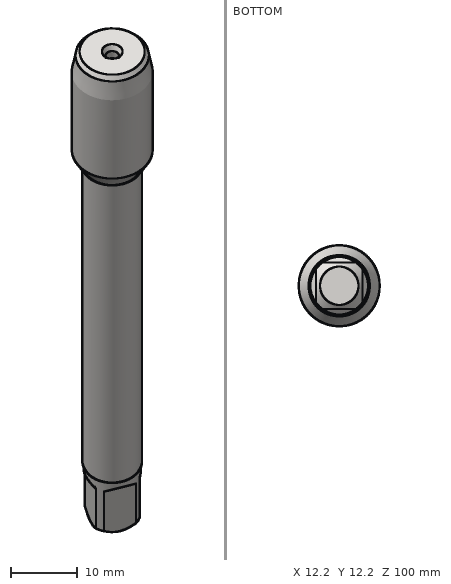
import cadquery as cq
import math

length = 100.0

head_diameter = 12.18
head_length = 21.0
lead_length = 4.3
lead_diameter = 11.0
tip_chamfer_height = 0.8
tip_diameter = 9.75

shank_diameter = 9.0
neck_cone_length = 3.0
neck_cone_end_diameter = 9.2

drive_diameter = 8.64
drive_length = 12.3
drive_step_height = 0.3
square_width = 7.0
square_length = 10.0
runout_angle = 45.0
end_chamfer_height = 1.5
end_diameter = 5.75

hole_diameter = 2.0
countersink_diameter = 3.08
countersink_angle = 60.0
hole_wall_length = 1.5
drill_point_angle = 120.0


def cone_depth(large_diameter, small_diameter, included_angle):
    """Axial length of a cone between two diameters."""
    half_angle = math.radians(included_angle / 2)
    return (large_diameter - small_diameter) / 2 / math.tan(half_angle)


def revolve_profile(stations):
    """Solid of revolution about Z from (diameter, height) pairs, closed along the axis."""
    points = [(0, stations[0][1])]
    points += [(diameter / 2, height) for diameter, height in stations]
    points += [(0, stations[-1][1])]
    return cq.Workplane("XZ").polyline(points).close().revolve(360, (0, 0), (0, 1))


def make_body():
    head_bottom = length - head_length
    return revolve_profile([
        (end_diameter, 0),
        (drive_diameter, end_chamfer_height),
        (drive_diameter, drive_length - drive_step_height),
        (shank_diameter, drive_length),
        (shank_diameter, head_bottom - neck_cone_length),
        (neck_cone_end_diameter, head_bottom - neck_cone_length),
        (head_diameter, head_bottom),
        (head_diameter, length - lead_length),
        (lead_diameter, length - tip_chamfer_height),
        (tip_diameter, length),
    ])


def make_flat_cutter():
    """Material outside one flat of the square, ending in a slope that rises outwards."""
    flat = square_width / 2
    outside = shank_diameter
    runout_top = square_length + (outside - flat) * math.tan(math.radians(runout_angle))
    profile = [(flat, 0), (outside, 0), (outside, runout_top), (flat, square_length)]
    return cq.Workplane("XZ").polyline(profile).close().extrude(shank_diameter / 2, both=True)


def make_centre_hole():
    countersink_bottom = length - cone_depth(countersink_diameter, hole_diameter, countersink_angle)
    wall_bottom = countersink_bottom - hole_wall_length
    hole_tip = wall_bottom - cone_depth(hole_diameter, 0, drill_point_angle)
    profile = [
        (0, hole_tip),
        (hole_diameter / 2, wall_bottom),
        (hole_diameter / 2, countersink_bottom),
        (countersink_diameter / 2, length),
        (0, length),
    ]
    return cq.Workplane("XZ").polyline(profile).close().revolve(360, (0, 0), (0, 1))


result = make_body()
flat_count = 4
for index in range(flat_count):
    turn = index * 360 / flat_count
    result = result.cut(make_flat_cutter().rotate((0, 0, 0), (0, 0, 1), turn))
result = result.cut(make_centre_hole())